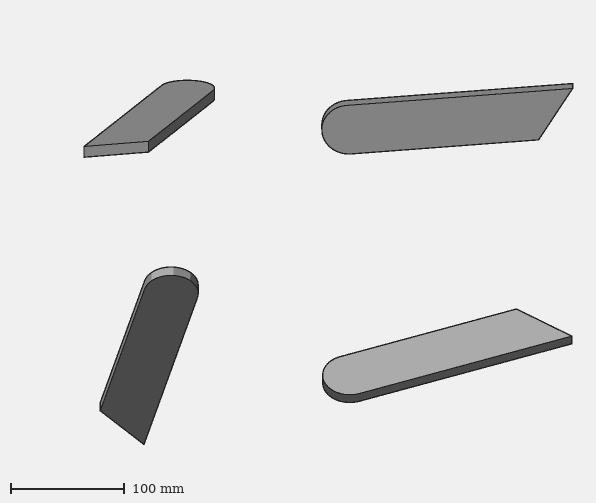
import cadquery as cq
import math

length_x = 172.6
thickness = 10.0
end_radius = 24.0
slope_angle = math.radians(35.5)

cut_x = length_x - end_radius
axis_y_at_cut = -cut_x * math.tan(slope_angle)
half_cut = end_radius / math.cos(slope_angle)

tangent_x = end_radius * math.sin(slope_angle)
tangent_y = end_radius * math.cos(slope_angle)

tip = (-end_radius * math.cos(slope_angle), end_radius * math.sin(slope_angle))

result = (
    cq.Workplane("XY")
    .moveTo(tangent_x, tangent_y)
    .threePointArc(tip, (-tangent_x, -tangent_y))
    .lineTo(cut_x, axis_y_at_cut - half_cut)
    .lineTo(cut_x, axis_y_at_cut + half_cut)
    .close()
    .extrude(thickness)
)